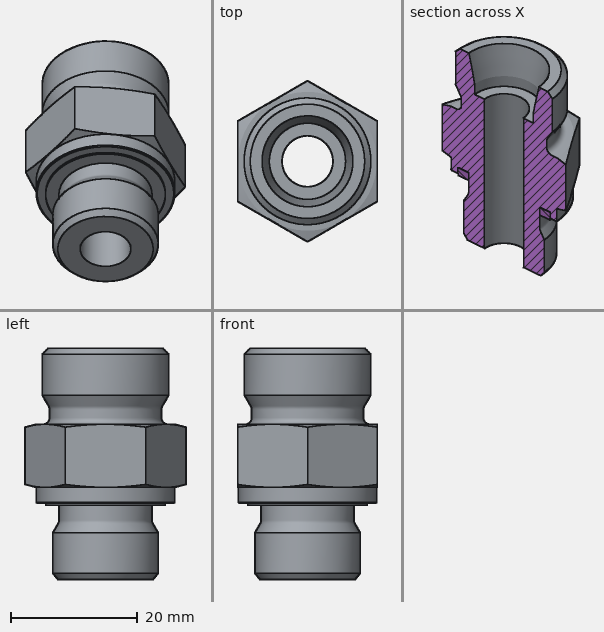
import cadquery as cq
import math

height = 36.5
edge_break = 1.0
relief_angle = 30.0

upper_thread_dia = 20.0
upper_neck_dia = 17.7
upper_land_bottom = 29.1

across_flats = 22.0
collar_dia = 21.9
hex_top = 24.5
hex_bottom = 14.53
hex_chamfer_angle = 15.0
collar_bottom = 12.0
collar_chamfer = 0.2

lower_thread_dia = 16.65
lower_neck_dia = 14.7
lower_land_top = 7.37
lower_tip_inset = 0.8

bore_dia = 8.0
socket_dia = 12.0
socket_mouth_dia = 14.35
socket_cone_angle = 12.0
socket_depth = 7.5

seal_dia = 18.9
seal_bottom = 11.68
seal_height = 1.5


def slope_height(large_dia, small_dia, angle):
    """Axial length of a cone between two diameters, with its angle from the axis."""
    return (large_dia - small_dia) / 2 / math.tan(math.radians(angle))


def disc(dia, bottom, top):
    return cq.Workplane("XY").workplane(offset=bottom).circle(dia / 2).extrude(top - bottom)


def revolved(points):
    """Solid of revolution about Z from (radius, z) points."""
    return cq.Workplane("XZ").polyline(points).close().revolve(360, (0, 0, 0), (0, 1, 0))


def make_hexagon():
    """Hexagonal prism with flats facing +X and -X and conically chamfered corners."""
    corner_dia = across_flats / math.cos(math.pi / 6)
    prism = (
        cq.Workplane("XY")
        .workplane(offset=hex_bottom)
        .polygon(6, corner_dia)
        .extrude(hex_top - hex_bottom)
        .rotate((0, 0, 0), (0, 0, 1), 30)
    )
    chamfer_drop = (corner_dia - collar_dia) / 2 * math.tan(math.radians(hex_chamfer_angle))
    envelope = revolved([
        (0, hex_bottom),
        (collar_dia / 2, hex_bottom),
        (corner_dia / 2, hex_bottom + chamfer_drop),
        (corner_dia / 2, hex_top - chamfer_drop),
        (collar_dia / 2, hex_top),
        (0, hex_top),
    ])
    return prism.intersect(envelope)


def make_upper_end():
    """Threaded end with a run-out, and a neck that flares onto the hexagon."""
    thread_radius = upper_thread_dia / 2
    neck_radius = upper_neck_dia / 2
    fillet = edge_break
    runout_bottom = upper_land_bottom - slope_height(upper_thread_dia, upper_neck_dia, relief_angle)

    slope = math.radians(relief_angle)
    tangent_length = fillet * math.tan(slope / 2)
    arc_bottom = runout_bottom - tangent_length

    def runout_arc_point(turn):
        return (
            neck_radius + fillet * (1 - math.cos(turn)),
            arc_bottom + fillet * math.sin(turn),
        )

    flare_middle = (
        neck_radius + fillet * (1 - math.sqrt(0.5)),
        hex_top + fillet * (1 - math.sqrt(0.5)),
    )
    return (
        cq.Workplane("XZ")
        .moveTo(0, hex_top)
        .lineTo(neck_radius + fillet, hex_top)
        .threePointArc(flare_middle, (neck_radius, hex_top + fillet))
        .lineTo(neck_radius, arc_bottom)
        .threePointArc(runout_arc_point(slope / 2), runout_arc_point(slope))
        .lineTo(thread_radius, upper_land_bottom)
        .lineTo(thread_radius, height - edge_break)
        .lineTo(thread_radius - edge_break, height)
        .lineTo(0, height)
        .close()
        .revolve(360, (0, 0, 0), (0, 1, 0))
    )


def make_lower_end():
    """Threaded end with a chamfered tip, a run-out and a neck up to the collar."""
    thread_radius = lower_thread_dia / 2
    neck_radius = lower_neck_dia / 2
    fillet = edge_break
    runout_top = lower_land_top + slope_height(lower_thread_dia, lower_neck_dia, relief_angle)
    slope = math.radians(relief_angle)
    arc_top = runout_top + fillet * math.tan(slope / 2)

    def runout_arc_point(turn):
        return (
            neck_radius + fillet * (1 - math.cos(turn)),
            arc_top - fillet * math.sin(turn),
        )

    return (
        cq.Workplane("XZ")
        .moveTo(0, 0)
        .lineTo(thread_radius - lower_tip_inset, 0)
        .lineTo(thread_radius, edge_break)
        .lineTo(thread_radius, lower_land_top)
        .lineTo(*runout_arc_point(slope))
        .threePointArc(runout_arc_point(slope / 2), (neck_radius, arc_top))
        .lineTo(neck_radius, hex_bottom)
        .lineTo(0, hex_bottom)
        .close()
        .revolve(360, (0, 0, 0), (0, 1, 0))
    )


def make_seal():
    seal_top = seal_bottom + seal_height
    return disc(seal_dia, seal_bottom, seal_top).cut(disc(lower_neck_dia, seal_bottom, seal_top))


def make_bore():
    """Through bore that opens into a stepped conical socket at the top."""
    socket_floor = height - socket_depth
    cone_bottom = height - slope_height(socket_mouth_dia, socket_dia, socket_cone_angle)
    return revolved([
        (0, 0),
        (bore_dia / 2, 0),
        (bore_dia / 2, socket_floor),
        (socket_dia / 2, socket_floor),
        (socket_dia / 2, cone_bottom),
        (socket_mouth_dia / 2, height),
        (0, height),
    ])


def make_fitting():
    collar = disc(collar_dia, collar_bottom, hex_bottom).faces("<Z").edges().chamfer(collar_chamfer)
    blank = make_hexagon().union(collar).union(make_upper_end()).union(make_lower_end())
    return blank.cut(make_bore()).cut(make_seal())


fitting = make_fitting().solids()
seal = make_seal().solids()
result = cq.Compound.makeCompound([fitting.val(), seal.val()])